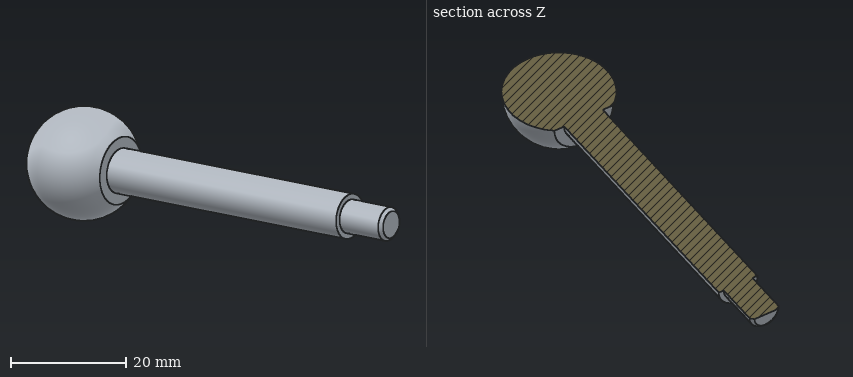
import cadquery as cq
import math

total_length = 77.0
ball_diameter = 20.0
ball_length = 18.0
shaft_diameter = 8.0
pin_diameter = 6.0
pin_length = 9.0
pin_chamfer = 0.6

ball_radius = ball_diameter / 2
ball_tip_x = -ball_radius
flat_x = ball_tip_x + ball_length
pin_end_x = ball_tip_x + total_length
shoulder_x = pin_end_x - pin_length
flat_radius = math.sqrt(ball_radius**2 - flat_x**2)


def make_ball():
    """Ball cut flat on the side facing the shaft."""
    profile = (
        cq.Workplane("XY")
        .moveTo(ball_tip_x, 0)
        .threePointArc((0, ball_radius), (flat_x, flat_radius))
        .lineTo(flat_x, 0)
        .close()
    )
    return profile.revolve(360, (0, 0, 0), (1, 0, 0))


def make_rod(diameter, end_x):
    """Round rod from the ball centre to end_x."""
    return cq.Workplane("YZ").circle(diameter / 2).extrude(end_x)


shaft = make_rod(shaft_diameter, shoulder_x)
pin = make_rod(pin_diameter, pin_end_x).faces(">X").chamfer(pin_chamfer)

result = make_ball().union(shaft).union(pin)